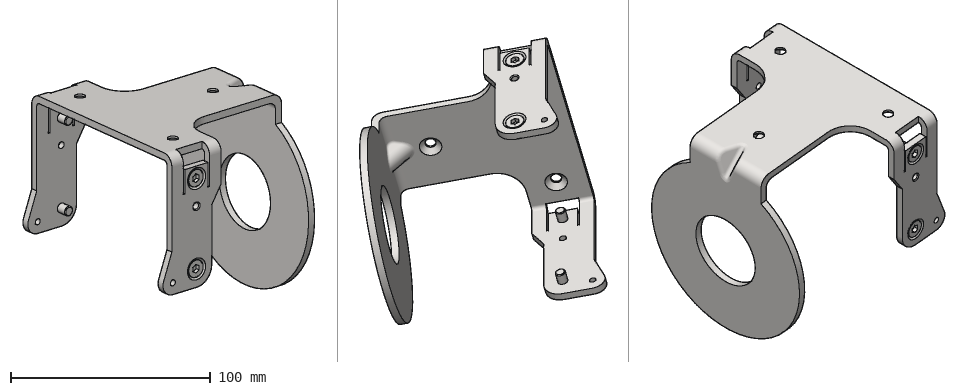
import cadquery as cq
import math

width = 110.2
sheet = 4.0
bend_radius = 6.0
neck_inner_radius = 4.2
half_width = width / 2

leg_center_y = -80.8
leg_width = 32.0
leg_rear_y = leg_center_y + leg_width / 2
leg_front_y = leg_center_y - leg_width / 2
leg_length = 74.7
rear_round = 9.9
rear_slope_top = -22.8
rear_slope_bottom = -32.6
toe_radius = 6.4
toe_y = -96.1
toe_z = toe_radius - leg_length
front_slope_top = -51.6
toe_hole_diameter = 3.2
tapped_hole_z = -31.0
tapped_hole_diameter = 3.5
tapped_hole_chamfer = 0.5

tab_width = 15.0
tab_gap = 1.0
tab_top = -9.3
slit_bottom = -22.5

upper_screw_z = -16.0
lower_screw_z = rear_round - leg_length
countersink_diameter = 11.7
head_diameter = 9.4
groove_depth = (countersink_diameter - head_diameter) / 2
head_recess = 0.4
socket_across_flats = 4.0
socket_depth = 2.2
stud_diameter = 5.2
stud_length = 6.1
stud_chamfer = 0.4

neck_width = 48.0
neck_fillet = 15.0
top_hole_diameter = 5.5
top_countersink_diameter = 11.2
top_hole_x = 36.5
rear_hole_y = -24.8
ring_radius = 50.0
ring_bore_radius = 20.0
ring_center_z = -60.0

bead_inner_radius = 1.9
bead_half_angle = math.radians(30)
bead_depth = 10.1
bead_ridge_fillet = 1.5
bead_groove_fillet = 2.5


def box(x0, x1, y0, y1, z0, z1):
    """Box between two opposite corners."""
    return cq.Workplane("XY").box(x1 - x0, y1 - y0, z1 - z0, centered=False).translate((x0, y0, z0))


def top_and_legs():
    """Top plate of the yoke with its two legs bent down, trimmed to the leg outline."""
    toe_tip_y = toe_y - toe_radius
    outer = box(-half_width, half_width, toe_tip_y, leg_rear_y, -leg_length, 0)
    outer = outer.edges("|Y and >Z").fillet(bend_radius)
    inner_half = half_width - sheet
    inner = box(-inner_half, inner_half, toe_tip_y, leg_rear_y, -leg_length - sheet, -sheet)
    inner = inner.edges("|Y and >Z").fillet(bend_radius - sheet)
    return outer.cut(inner).intersect(leg_profile())


def leg_profile():
    """Leg outline seen along X, extruded over the whole width."""
    start_y = leg_front_y - toe_y
    start_z = front_slope_top - toe_z
    touch = math.atan2(start_z, start_y) + math.acos(toe_radius / math.hypot(start_y, start_z))

    def on_toe(angle):
        return toe_y + toe_radius * math.cos(angle), toe_z + toe_radius * math.sin(angle)

    arc_middle = (touch + 1.5 * math.pi) / 2
    diagonal = rear_round * math.sqrt(0.5)
    return (
        cq.Workplane("YZ", origin=(-half_width, 0, 0))
        .moveTo(leg_rear_y, 0)
        .lineTo(leg_front_y, 0)
        .lineTo(leg_front_y, front_slope_top)
        .lineTo(*on_toe(touch))
        .threePointArc(on_toe(arc_middle), (toe_y, -leg_length))
        .lineTo(leg_center_y, -leg_length)
        .threePointArc(
            (leg_center_y + diagonal, lower_screw_z - diagonal),
            (leg_center_y + rear_round, lower_screw_z),
        )
        .lineTo(leg_center_y + rear_round, rear_slope_bottom)
        .lineTo(leg_rear_y, rear_slope_top)
        .close()
        .extrude(width)
    )


def neck_and_ring():
    """Neck running back from the top plate and bent down into the ring."""
    half_neck = neck_width / 2
    neck = box(-half_neck, half_neck, leg_rear_y, 0, ring_center_z, 0)
    neck = neck.edges("|X and >Y and >Z").fillet(bend_radius)
    hollow = box(-half_neck, half_neck, leg_rear_y, -sheet, ring_center_z, -sheet)
    hollow = hollow.edges("|X and >Y and >Z").fillet(neck_inner_radius)
    ring = ring_cylinder(ring_radius)
    return neck.cut(hollow).union(ring)


def ring_cylinder(radius):
    """Disc of sheet thickness on the ring axis."""
    rear_face = cq.Plane(origin=(0, 0, ring_center_z), xDir=(-1, 0, 0), normal=(0, -1, 0))
    return cq.Workplane(rear_face).circle(radius).extrude(sheet)


def neck_corner(side):
    """Concave fillet between the neck and the yoke on one side."""
    x = side * neck_width / 2
    arc = neck_fillet * (1 - math.sqrt(0.5))
    return (
        cq.Workplane("XY", origin=(0, 0, -sheet))
        .moveTo(x, leg_rear_y)
        .lineTo(x + side * neck_fillet, leg_rear_y)
        .threePointArc((x + side * arc, leg_rear_y + arc), (x, leg_rear_y + neck_fillet))
        .close()
        .extrude(sheet)
    )


def bead_prism(radius):
    """V-shaped bar with a rounded keel along the 45 degree direction of the bend."""
    slant = cq.Plane(origin=(0, 0, 0), xDir=(1, 0, 0), normal=(0, -1, 1))
    keel_center = bead_inner_radius - bead_depth
    side_x = radius * math.cos(bead_half_angle)
    side_v = keel_center - radius * math.sin(bead_half_angle)
    mouth_x = side_x - side_v * math.tan(bead_half_angle)
    return (
        cq.Workplane(slant)
        .moveTo(-mouth_x, 0)
        .lineTo(-side_x, side_v)
        .threePointArc((0, keel_center - radius), (side_x, side_v))
        .lineTo(mouth_x, 0)
        .close()
        .extrude(2 * bead_depth, both=True)
    )


def add_bead(body):
    """Press the bead: a rounded ridge inside the bend and a matching groove outside, edges rounded."""
    reach = 2 * bead_depth
    corner = box(-reach, reach, -reach, -sheet / 2, -reach, -sheet / 2)
    ridge = bead_prism(bead_inner_radius + sheet).intersect(corner)
    groove = bead_prism(bead_inner_radius)
    ridged = body.union(ridge)
    ridged = ridged.newObject(new_edges(ridged, body, ridge)).fillet(bead_ridge_fillet)
    grooved = ridged.cut(groove)
    return grooved.newObject(new_edges(grooved, ridged, groove)).fillet(bead_groove_fillet)


def new_edges(combined, first, second):
    """Edges of a combined shape that lie on the skins of both shapes it was made from."""
    tolerance = 0.001
    sample_places = (0.3, 0.6)
    skins = [cq.Compound.makeCompound(shape.faces().vals()) for shape in (first, second)]

    def on_both_skins(edge):
        samples = [cq.Vertex.makeVertex(*edge.positionAt(place).toTuple()) for place in sample_places]
        return all(skin.distance(sample) < tolerance for skin in skins for sample in samples)

    return [edge for edge in combined.edges().vals() if on_both_skins(edge)]


def screw_cut(z):
    """Tapered groove around the screw head and its hexagon socket, cut into the left leg."""
    leg_face = cq.Workplane("YZ", origin=(-half_width, leg_center_y, z))
    head = leg_face.workplane(offset=head_recess).circle(head_diameter / 2).extrude(groove_depth)
    socket = (
        leg_face.workplane(offset=head_recess)
        .polygon(6, socket_across_flats, circumscribed=True)
        .extrude(socket_depth)
    )
    return tapered_hole(z, countersink_diameter, head_diameter, groove_depth).cut(head).union(socket)


def tapered_hole(z, outside_diameter, inside_diameter, depth):
    """Cone narrowing inwards from the outer face of the left leg."""
    return (
        cq.Workplane("YZ", origin=(-half_width, leg_center_y, z))
        .circle(outside_diameter / 2)
        .workplane(offset=depth)
        .circle(inside_diameter / 2)
        .loft()
    )


def stud(z):
    """Screw end standing inwards from the left leg."""
    return (
        cq.Workplane("YZ", origin=(sheet - half_width, leg_center_y, z))
        .circle(stud_diameter / 2)
        .extrude(stud_length)
        .faces(">X")
        .chamfer(stud_chamfer)
    )


def leg_cuts():
    """Everything removed from the left leg."""
    outside = -half_width
    inside = sheet - half_width
    half_tab = tab_width / 2
    half_slot = half_tab + tab_gap
    slot_rear = leg_center_y + half_slot
    slot_front = leg_center_y - half_slot
    cuts = box(outside, bend_radius - half_width, slot_front, slot_rear, tab_top, 0)
    for y in (slot_front, leg_center_y + half_tab):
        cuts = cuts.union(box(outside, inside, y, y + tab_gap, slit_bottom, tab_top))
    for z in (upper_screw_z, lower_screw_z):
        cuts = cuts.union(screw_cut(z))
    toe_hole = cq.Workplane("YZ", origin=(outside, toe_y, toe_z)).circle(toe_hole_diameter / 2).extrude(sheet)
    tapped_hole = (
        cq.Workplane("YZ", origin=(outside, leg_center_y, tapped_hole_z))
        .circle(tapped_hole_diameter / 2)
        .extrude(sheet)
    )
    mouth_diameter = tapped_hole_diameter + 2 * tapped_hole_chamfer
    tapped_mouth = tapered_hole(tapped_hole_z, mouth_diameter, tapped_hole_diameter, tapped_hole_chamfer)
    return cuts.union(toe_hole).union(tapped_hole).union(tapped_mouth)


def top_holes():
    """Three mounting holes through the top plate, countersunk at 90 degrees from below."""
    points = [(0, rear_hole_y), (-top_hole_x, leg_center_y), (top_hole_x, leg_center_y)]
    hole = cq.Solid.makeCylinder(top_hole_diameter / 2, sheet)
    countersink_depth = (top_countersink_diameter - top_hole_diameter) / 2
    cone = cq.Solid.makeCone(top_countersink_diameter / 2, top_hole_diameter / 2, countersink_depth)
    cutter = hole.fuse(cone)
    return cq.Workplane("XY", origin=(0, 0, -sheet)).pushPoints(points).eachpoint(cutter.moved)


body = add_bead(neck_and_ring())
body = body.union(top_and_legs())
for side in (-1, 1):
    body = body.union(neck_corner(side))
body = body.cut(ring_cylinder(ring_bore_radius)).cut(top_holes())

left_cuts = leg_cuts()
left_studs = stud(upper_screw_z).union(stud(lower_screw_z))
body = body.cut(left_cuts).cut(left_cuts.mirror("YZ"))
result = body.union(left_studs).union(left_studs.mirror("YZ"))